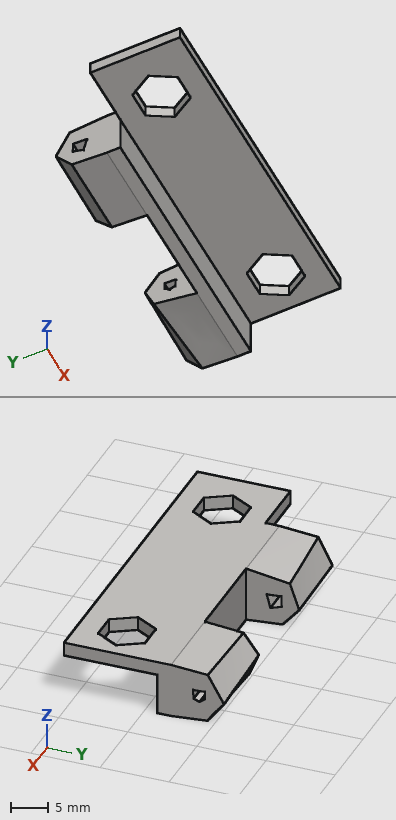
import cadquery as cq

length = 48.0
plate_depth = 13.5
plate_thickness = 2.0

hex_width = 7.8
hex_center_left = 7.9
hex_center_right = 42.05
hex_center_y = plate_depth / 2

block_start = 9.0
block_back = 15.5
height = 8.0

left_lug_end = 21.0
right_lug_start = 35.85
longest_tip_back = 23.35
tip_back = 23.2

LEFT_LUG_OUTER = [(21.1, -0.5), (tip_back, -4.45), (20.8, -7.6)]
LEFT_LUG_INNER = [(21.85, -0.95), (tip_back, -4.8), (20.8, -7.6)]
RIGHT_LUG_INNER = [(21.1, -0.5), (longest_tip_back, -3.45), (22.0, -6.65)]
RIGHT_LUG_OUTER = [(20.85, -0.4), (tip_back, -4.45), (20.8, -7.6)]

LEFT_PIN_HOLE = [(20.6, -3.2), (18.5, -3.35), (19.0, -5.4), (20.65, -4.85)]
RIGHT_PIN_HOLE = [(20.4, -3.1), (18.65, -3.2), (18.75, -4.55), (19.65, -4.85), (20.4, -4.25)]


def box_between(x_range, y_range, z_range):
    """Box spanning the given (low, high) ranges."""
    sizes = [high - low for low, high in (x_range, y_range, z_range)]
    corner = (x_range[0], y_range[0], z_range[0])
    return cq.Workplane("XY").box(*sizes, centered=False).translate(corner)


def hinge_lug(x_start, x_end, start_corners, end_corners, pin_corners):
    """Faceted lug blending between its two end outlines, with a pin hole along X."""
    root = [(block_back, -height), (block_back, 0)]
    lug = (
        cq.Workplane("YZ", origin=(x_start, 0, 0))
        .polyline(root + start_corners)
        .close()
        .workplane(offset=x_end - x_start)
        .polyline(root + end_corners)
        .close()
        .loft(ruled=True)
    )
    pin_hole = (
        cq.Workplane("YZ", origin=(x_start, 0, 0))
        .polyline(pin_corners)
        .close()
        .extrude(x_end - x_start)
    )
    return lug.cut(pin_hole)


plate = box_between((0, length), (0, plate_depth), (-plate_thickness, 0))
hex_openings = (
    cq.Workplane("XY")
    .pushPoints([(x, hex_center_y) for x in (hex_center_left, hex_center_right)])
    .polygon(6, hex_width)
    .extrude(-plate_thickness)
)
plate = plate.cut(hex_openings)

block = box_between((block_start, length), (plate_depth, block_back), (-height, 0))

left_lug = hinge_lug(block_start, left_lug_end, LEFT_LUG_OUTER, LEFT_LUG_INNER, LEFT_PIN_HOLE)
right_lug = hinge_lug(right_lug_start, length, RIGHT_LUG_INNER, RIGHT_LUG_OUTER, RIGHT_PIN_HOLE)

result = plate.union(block).union(left_lug).union(right_lug)